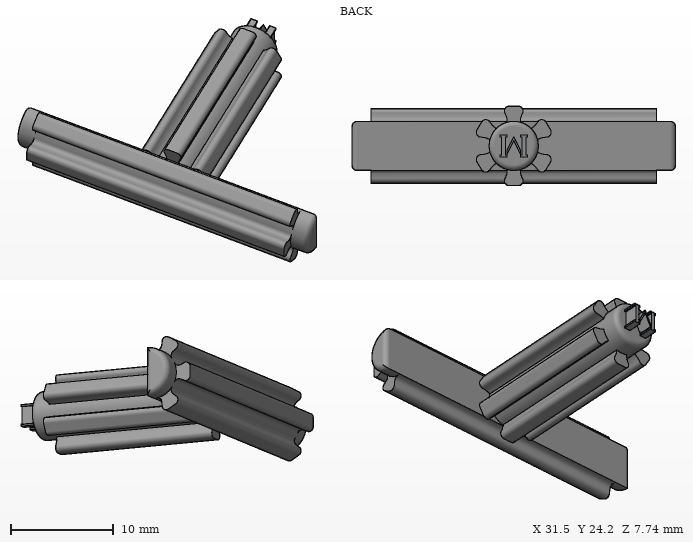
import cadquery as cq
import math

bar_length = 31.5
total_depth = 24.22

core_radius = 2.4
fin_radius = 3.87
fin_count = 6
tip_half_width = 0.45
tip_round = 0.47
bulb_end_radius = 3.2
root_half_width = 0.63
root_round = 0.47

bar_fin_length = 27.8
stem_fin_length = 16.85
stem_cap_length = 2.0
cap_round = 0.5

key_width = 2.7
key_height = 2.15
key_lip_height = 0.2
key_lip_step = 0.15
key_leg_width = 0.7
key_peak_height = 0.88
key_rise = 1.32
key_web_thickness = 0.38

stem_cap_end = stem_fin_length + stem_cap_length
key_length = total_depth - fin_radius - stem_cap_end


def arc_point(centre, radius, degrees):
    """Point on a circle, measured counter-clockwise from +X."""
    angle = math.radians(degrees)
    return (centre[0] + radius * math.cos(angle), centre[1] + radius * math.sin(angle))


def make_fin(length):
    """One fin pointing along +Y, rooted inside the core and running up +Z."""
    tip_centre = (tip_half_width, fin_radius - tip_round)
    tip_drop = tip_centre[1] - bulb_end_radius
    bulb_half_width = tip_half_width + math.sqrt(tip_round**2 - tip_drop**2)

    root_y = math.sqrt(core_radius**2 - root_half_width**2)
    flank_run = bulb_half_width - root_half_width
    flank_rise = bulb_end_radius - root_y
    flank_radius = (flank_run**2 + flank_rise**2) / (2 * flank_run)
    flank_centre = (root_half_width + flank_radius, root_y)
    flank_sweep = math.degrees(math.asin(flank_rise / flank_radius))
    flank_mid = arc_point(flank_centre, flank_radius, 180 - flank_sweep / 2)

    half = (
        cq.Workplane("XY")
        .moveTo(0, fin_radius)
        .lineTo(tip_half_width, fin_radius)
        .threePointArc(arc_point(tip_centre, tip_round, 45), (bulb_half_width, bulb_end_radius))
        .threePointArc(flank_mid, (root_half_width, root_y))
        .lineTo(0, core_radius / 2)
        .close()
        .extrude(length)
    )
    return half.union(half.mirror("YZ"))


def finned_rod(length):
    """Core with evenly spaced fins, running up +Z from the origin."""
    rod = cq.Workplane("XY").circle(core_radius).extrude(length).rotate((0, 0, 0), (0, 0, 1), 90)
    fin = make_fin(length)
    for index in range(fin_count):
        angle = index * 360 / fin_count
        rod = rod.union(fin.rotate((0, 0, 0), (0, 0, 1), angle))
    return rod


def is_root_edge(edge):
    """True for a lengthwise edge where a fin meets the core."""
    centre = edge.Center()
    return math.isclose(math.hypot(centre.x, centre.y), core_radius, abs_tol=0.003)


def front_half(body):
    """Keep only the part of a body in front of the plane Y = 0."""
    keep = cq.Workplane("XY").box(bar_length, fin_radius, 2 * fin_radius)
    return body.intersect(keep.translate((0, -fin_radius / 2, 0)))


def make_crossbar():
    """Half of the finned section along X, flat at the back, with a rounded plain cap at each end."""
    fins = (
        finned_rod(bar_fin_length)
        .edges("|Z")
        .filter(is_root_edge)
        .fillet(root_round)
        .translate((0, 0, -bar_fin_length / 2))
        .rotate((0, 0, 0), (0, 1, 0), 90)
    )
    core = cq.Workplane("YZ").circle(core_radius).extrude(bar_length / 2, both=True)
    core = front_half(core).faces("<X or >X").edges().fillet(cap_round)
    return core.union(front_half(fins))


def make_stem():
    """Full finned section along +Y with a rounded plain cap at its free end."""
    fins = finned_rod(stem_fin_length).rotate((0, 0, 0), (1, 0, 0), -90)
    cap = (
        cq.Workplane("XZ", origin=(0, stem_fin_length, 0))
        .circle(core_radius)
        .extrude(-stem_cap_length)
        .faces(">Y")
        .edges()
        .fillet(cap_round)
    )
    return fins.union(cap)


def make_key():
    """Raised key: two lipped legs joined by a peaked web."""
    base = cq.Workplane("XZ", origin=(0, stem_cap_end, 0))
    leg_width = key_leg_width - 2 * key_lip_step
    leg_centre = (key_width - key_leg_width) / 2
    lip_centre = (key_height - key_lip_height) / 2
    inner = key_width / 2 - key_leg_width
    peak = key_peak_height
    valley = peak - key_rise
    web = key_web_thickness
    key = (
        base.moveTo(-inner, valley)
        .lineTo(0, peak)
        .lineTo(inner, valley)
        .lineTo(inner, valley - web)
        .lineTo(0, peak - web)
        .lineTo(-inner, valley - web)
        .close()
        .extrude(-key_length)
    )
    for side in (-1, 1):
        leg = base.center(side * leg_centre, 0).rect(leg_width, key_height).extrude(-key_length)
        key = key.union(leg)
        for end in (-1, 1):
            lip = base.center(side * leg_centre, end * lip_centre).rect(key_leg_width, key_lip_height)
            key = key.union(lip.extrude(-key_length))
    return key


result = make_crossbar().union(make_stem(), clean=False).union(make_key(), clean=False)